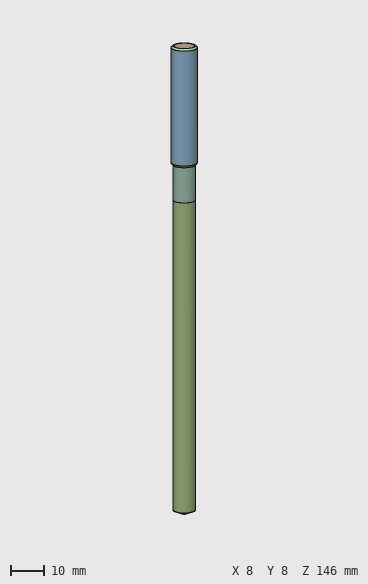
import cadquery as cq
import math

total_length = 146.0
shank_diameter = 8.0
drill_diameter = 6.9
shank_length = 36.4
cutting_length = 98.0
point_angle = 135.0
end_chamfer_width = 0.7
end_chamfer_height = 0.6
shoulder_height = 0.7

shank_radius = shank_diameter / 2
drill_radius = drill_diameter / 2
top_z = total_length / 2
tip_z = -total_length / 2
shoulder_z = top_z - shank_length
joint_z = tip_z + cutting_length
point_height = drill_radius / math.tan(math.radians(point_angle / 2))


def make_shank():
    """Round shank with a chamfered end, a conical shoulder and a thinner neck."""
    profile = (
        cq.Workplane("XZ")
        .moveTo(0, joint_z)
        .lineTo(drill_radius, joint_z)
        .lineTo(drill_radius, shoulder_z - shoulder_height)
        .lineTo(shank_radius, shoulder_z)
        .lineTo(shank_radius, top_z - end_chamfer_height)
        .lineTo(shank_radius - end_chamfer_width, top_z)
        .lineTo(0, top_z)
        .close()
    )
    return profile.revolve(360, (0, 0), (0, 1))


def make_cutting_rod():
    """Plain cylindrical rod that meets the neck and ends in a conical point."""
    profile = (
        cq.Workplane("XZ")
        .moveTo(0, tip_z)
        .lineTo(drill_radius, tip_z + point_height)
        .lineTo(drill_radius, joint_z)
        .lineTo(0, joint_z)
        .close()
    )
    return profile.revolve(360, (0, 0), (0, 1))


shank = make_shank()
cutting_rod = make_cutting_rod()

result = cq.Compound.makeCompound([shank.val(), cutting_rod.val()])